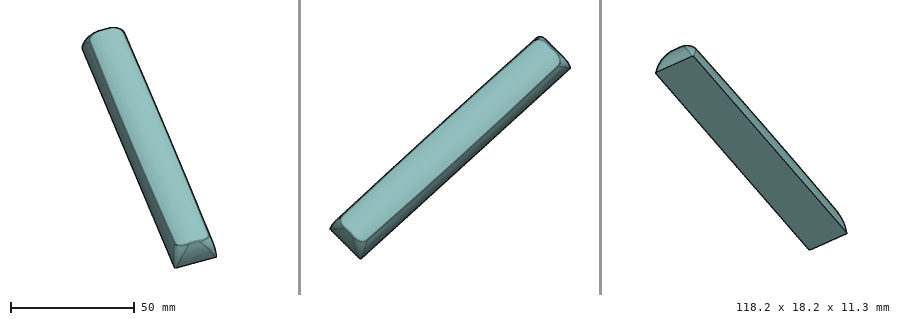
import cadquery as cq
import math

LENGTH = 118.2
WIDTH = 18.2
HEIGHT = 11.3

TOP_INSET = 2.2
INSET_POWER = 2.7
TOP_SIDE_BOW = 0.5

BASE_CORNER_RADIUS = 0.6
TOP_CORNER_RADIUS = 4.5

CROWN_RADIUS = 17.1
RIM_FILLET = 0.6

SECTION_COUNT = 6
TRIM_ALLOWANCE = 0.5

CORNER_MIDPOINT = 1 - math.sqrt(0.5)


def side_wall(outline, middle, end):
    """Draw one long side: bowed through its middle, or straight when the two are level."""
    if middle[1] == end[1]:
        return outline.lineTo(*end)
    return outline.threePointArc(middle, end)


def add_outline(body, height):
    """Add the closed horizontal outline of the walls at one height."""
    rise = height / HEIGHT
    inset = TOP_INSET * rise**INSET_POWER
    radius = BASE_CORNER_RADIUS + (TOP_CORNER_RADIUS - BASE_CORNER_RADIUS) * rise

    x_end = LENGTH / 2 - inset
    y_mid = WIDTH / 2 - inset
    y_side = y_mid - TOP_SIDE_BOW * rise

    x_flat = x_end - radius
    y_flat = y_side - radius
    x_arc = x_end - CORNER_MIDPOINT * radius
    y_arc = y_side - CORNER_MIDPOINT * radius

    outline = body.moveTo(-x_flat, -y_side)
    outline = side_wall(outline, (0, -y_mid), (x_flat, -y_side))
    outline = outline.threePointArc((x_arc, -y_arc), (x_end, -y_flat))
    outline = outline.lineTo(x_end, y_flat)
    outline = outline.threePointArc((x_arc, y_arc), (x_flat, y_side))
    outline = side_wall(outline, (0, y_mid), (-x_flat, y_side))
    outline = outline.threePointArc((-x_arc, y_arc), (-x_end, y_flat))
    outline = outline.lineTo(-x_end, -y_flat)
    outline = outline.threePointArc((-x_arc, -y_arc), (-x_flat, -y_side))
    return outline.close()


def make_walls():
    """Loft the curved walls from the base to just above the crown."""
    spacing = (HEIGHT + TRIM_ALLOWANCE) / (SECTION_COUNT - 1)
    body = add_outline(cq.Workplane("XY"), 0)
    for level in range(1, SECTION_COUNT):
        body = add_outline(body.workplane(offset=spacing), level * spacing)
    return body.loft(ruled=False, combine=True)


def make_crown():
    """Long cylinder whose upper surface forms the top of the part."""
    return (
        cq.Workplane("YZ")
        .center(0, HEIGHT - CROWN_RADIUS)
        .circle(CROWN_RADIUS)
        .extrude(LENGTH, both=True)
    )


body = make_walls().intersect(make_crown())
result = body.faces(">Z").edges().fillet(RIM_FILLET)